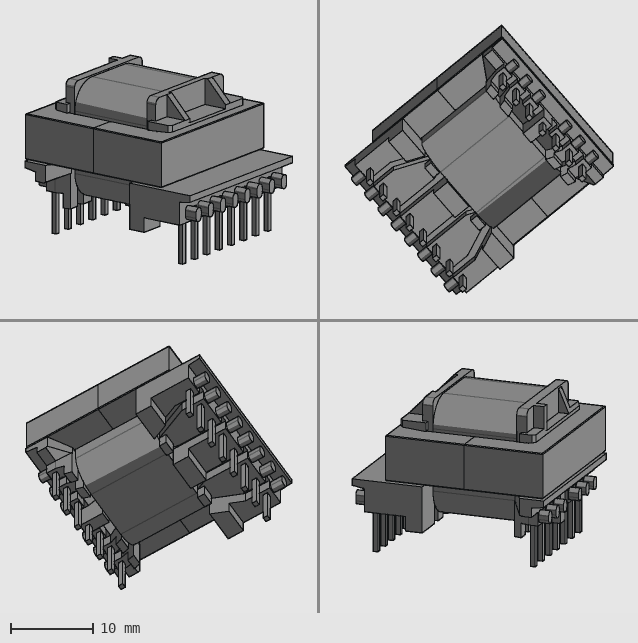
import cadquery as cq


CORE_LENGTH = 20.55
CORE_WIDTH = 21.0
CORE_HEIGHT = 5.8
CORE_CHAMFER = 0.112
WINDOW_HALF_LENGTH = 7.05
WINDOW_HALF_WIDTH = 7.05
CENTRE_LEG_HALF_WIDTH = 3.0

WINDING_HALF_LENGTH = 5.48
WINDING_HALF_WIDTH = 6.88
WINDING_TOP = 6.75
WINDING_BOTTOM = -8.22
WINDING_RADIUS = 3.52
LEG_HOLE_HALF_WIDTH = 3.08
LEG_HOLE_HALF_HEIGHT = 3.1

FLANGE_THICKNESS = 1.32
FLANGE_HALF_WIDTH = 6.95
FLANGE_TOP = 6.95
FLANGE_RADIUS = 0.8
FLANGE_OUTER = WINDING_HALF_LENGTH + FLANGE_THICKNESS

RAIL_HALF_WIDTH = 7.6
RAIL_TOP = 4.12
RAIL_INNER_BOTTOM = 3.0
RAIL_UNDERSIDE_SLOPE = 0.08
RAIL_OVERLAP = 0.68
RAIL_CORNER = 0.38
SHORT_RAIL_END = 8.12
LONG_RAIL_END = 9.52
RAIL_POCKET_HALF_WIDTH = 3.68
RAIL_POCKET_FLOOR = 3.62
RIB_THICKNESS = 0.98
SLANTED_RIB_TOP = 6.68
LONG_FLANGE_POCKET_DEPTH = 0.42

BLOCK_HALF_WIDTH = CORE_WIDTH / 2
BLOCK_TOP = -3.12
LIP_LENGTH = 1.6
LIP_EDGE_BOTTOM = -3.95
LIP_ROOT_BOTTOM = -4.22
POST_BOTTOM = -7.15
FOOT_BOTTOM = -9.0
NARROW_END = -10.38
WIDE_END = 14.62
NARROW_FACE = NARROW_END + LIP_LENGTH
WIDE_FACE = WIDE_END - LIP_LENGTH

SLOT_CEILING = -5.4
SLOT_CEILING_INNER = -4.5
POST_BACK = -7.5
POST_WIDTH = 1.5
BLOCK_TAPER_START = -7.25
BLOCK_TAPER_SLOPE = 1.65
GUIDE_FOOT_FRONT = -6.45
PILLAR_WIDTH = 1.5

WIDE_FOOT_END = 7.68
WIDE_SIDE_FOOT_LENGTH = 4.2
WIDE_CENTRE_FOOT_WIDTH = 4.05
WIDE_GUIDE_FOOT_LENGTH = 0.98
WIRE_SLOT_SLOPE = 0.42
OUTER_SLOT = (5.15, 6.3, 7.0, 8.0)
INNER_SLOT = (2.02, 3.52, 2.0, 3.0)

PIN_SIZE = 0.62
PIN_PITCH = 2.5
WIDE_PIN_COUNT = 8
PIN_TIP = -12.55
NARROW_PIN_X = -7.92
WIDE_PIN_X = 12.12
PEG_WIDTH = 1.05
NARROW_PEG_TIP = -10.08
NARROW_PEG_HEIGHT = 1.6
NARROW_PEG_Z = -6.1
WIDE_PEG_HEIGHT = 1.78
WIDE_PEG_Z = -5.92
POST_ROWS = [side * PIN_PITCH * n for n in (1, 2, 3) for side in (-1, 1)]
WIDE_PIN_ROWS = [PIN_PITCH * (n - (WIDE_PIN_COUNT - 1) / 2) for n in range(WIDE_PIN_COUNT)]

GUIDE_LEGS = [(8.25, 7.72, 6.72, 6.32), (5.72, 5.15, 4.28, 3.52)]


def box(x0, x1, y0, y1, z0, z1):
    """Axis-aligned block between the given limits."""
    return cq.Workplane("XY").box(x1 - x0, y1 - y0, z1 - z0, centered=False).translate((x0, y0, z0))


def side_profile(points, y0, y1):
    """Outline in X and Z, extruded from y0 to y1."""
    return cq.Workplane("XZ", origin=(0, y0, 0)).polyline(points).close().extrude(y0 - y1)


def leg_hole(x0, x1):
    half_width = LEG_HOLE_HALF_WIDTH
    return box(x0, x1, -half_width, half_width, -LEG_HOLE_HALF_HEIGHT, LEG_HOLE_HALF_HEIGHT)


def core_half(side):
    """E-shaped half core on the -X (side = -1) or +X (side = 1) end."""
    core = cq.Workplane("XY").box(CORE_LENGTH, CORE_WIDTH, CORE_HEIGHT)
    core = core.faces("<Z or >Z").edges().chamfer(CORE_CHAMFER)
    for y0, y1 in (
        (CENTRE_LEG_HALF_WIDTH, WINDOW_HALF_WIDTH),
        (-WINDOW_HALF_WIDTH, -CENTRE_LEG_HALF_WIDTH),
    ):
        core = core.cut(box(-WINDOW_HALF_LENGTH, WINDOW_HALF_LENGTH, y0, y1, -CORE_HEIGHT, CORE_HEIGHT))
    half_space = cq.Workplane("XY").box(CORE_LENGTH, CORE_WIDTH, CORE_HEIGHT)
    return core.intersect(half_space.translate((side * CORE_LENGTH / 2, 0, 0)))


def winding():
    length = 2 * WINDING_HALF_LENGTH
    body = (
        cq.Workplane("XY")
        .box(length, 2 * WINDING_HALF_WIDTH, WINDING_TOP - WINDING_BOTTOM)
        .edges("|X")
        .fillet(WINDING_RADIUS)
        .translate((0, 0, (WINDING_TOP + WINDING_BOTTOM) / 2))
    )
    return body.cut(leg_hole(-WINDING_HALF_LENGTH, WINDING_HALF_LENGTH))


def flange():
    """Plate at the end of the winding, from the terminal block up to the rounded top."""
    plate = box(
        WINDING_HALF_LENGTH, FLANGE_OUTER, -FLANGE_HALF_WIDTH, FLANGE_HALF_WIDTH, BLOCK_TOP, FLANGE_TOP
    )
    plate = plate.edges("|X and >Z").fillet(FLANGE_RADIUS)
    return plate.cut(leg_hole(WINDING_HALF_LENGTH, FLANGE_OUTER))


def rail(end):
    """Ledge along the outside of the flange, above the core, with a pocket between its ribs."""
    inner = FLANGE_OUTER - RAIL_OVERLAP
    outer_bottom = RAIL_INNER_BOTTOM + RAIL_UNDERSIDE_SLOPE * (end - inner)
    outline = [(inner, RAIL_INNER_BOTTOM), (end, outer_bottom), (end, RAIL_TOP), (inner, RAIL_TOP)]
    ledge = side_profile(outline, -RAIL_HALF_WIDTH, RAIL_HALF_WIDTH)
    ledge = ledge.edges(">X and |Z").chamfer(RAIL_CORNER)
    pocket = box(
        FLANGE_OUTER, end, -RAIL_POCKET_HALF_WIDTH, RAIL_POCKET_HALF_WIDTH, RAIL_POCKET_FLOOR, FLANGE_TOP
    )
    return ledge.cut(pocket)


def slanted_rib(end, top, foot_z):
    """Triangular rib on the +Y side of the pocket, from the flange down to the rail edge."""
    outline = [(FLANGE_OUTER, foot_z), (end, foot_z), (FLANGE_OUTER, top)]
    return side_profile(outline, RAIL_POCKET_HALF_WIDTH, RAIL_POCKET_HALF_WIDTH + RIB_THICKNESS)


def pin(x, y, top):
    half = PIN_SIZE / 2
    return box(x - half, x + half, y - half, y + half, PIN_TIP, top)


def peg(x0, x1, y, z, height):
    """Wire peg along X with an upright oblong section."""
    return cq.Workplane("YZ", origin=(x0, y, z)).slot2D(height, PEG_WIDTH, 90).extrude(x1 - x0)


def guide_leg(outer_front, outer_back, inner_front, inner_back):
    """Leaning leg behind an outer post; its foot is set back behind the post."""
    back = -WINDING_HALF_LENGTH
    plan = [(POST_BACK, outer_front), (back, outer_back), (back, inner_back), (POST_BACK, inner_front)]
    height = SLOT_CEILING_INNER - FOOT_BOTTOM
    leg = cq.Workplane("XY", origin=(0, 0, FOOT_BOTTOM)).polyline(plan).close().extrude(height)
    return leg.cut(
        box(POST_BACK, GUIDE_FOOT_FRONT, -BLOCK_HALF_WIDTH, BLOCK_HALF_WIDTH, FOOT_BOTTOM, POST_BOTTOM)
    )


def narrow_block():
    """Lipped bar with tapered rear corners and a roof that rises to the winding."""
    back = -WINDING_HALF_LENGTH
    outline = [
        (NARROW_END, BLOCK_TOP),
        (back, BLOCK_TOP),
        (back, SLOT_CEILING_INNER),
        (POST_BACK, SLOT_CEILING),
        (NARROW_FACE, SLOT_CEILING),
        (NARROW_FACE, LIP_ROOT_BOTTOM),
        (NARROW_END, LIP_EDGE_BOTTOM),
    ]
    block = side_profile(outline, -BLOCK_HALF_WIDTH, BLOCK_HALF_WIDTH)
    taper = BLOCK_TAPER_SLOPE * (back - BLOCK_TAPER_START)
    corner = [
        (BLOCK_TAPER_START, BLOCK_HALF_WIDTH),
        (back, BLOCK_HALF_WIDTH),
        (back, BLOCK_HALF_WIDTH - taper),
    ]
    cutter = cq.Workplane("XY", origin=(0, 0, SLOT_CEILING)).polyline(corner).close()
    cutter = cutter.extrude(BLOCK_TOP - SLOT_CEILING)
    return block.cut(cutter).cut(cutter.mirror("XZ"))


def narrow_end():
    body = flange().union(rail(SHORT_RAIL_END)).mirror("YZ")

    rib_outer = RAIL_POCKET_HALF_WIDTH + RIB_THICKNESS
    body = body.union(
        box(-SHORT_RAIL_END, -FLANGE_OUTER, RAIL_POCKET_HALF_WIDTH, rib_outer, RAIL_POCKET_FLOOR, FLANGE_TOP)
    )
    slope_cut = side_profile(
        [
            (-SHORT_RAIL_END, RAIL_POCKET_FLOOR),
            (-FLANGE_OUTER, SLANTED_RIB_TOP),
            (-SHORT_RAIL_END, SLANTED_RIB_TOP),
        ],
        -RAIL_HALF_WIDTH,
        -RAIL_POCKET_HALF_WIDTH,
    )
    rib = slanted_rib(SHORT_RAIL_END, SLANTED_RIB_TOP, RAIL_POCKET_FLOOR)
    body = body.cut(slope_cut).union(rib.rotate((0, 0, 0), (0, 0, 1), 180))

    body = body.union(narrow_block())
    half_pillar = PILLAR_WIDTH / 2
    body = body.union(
        box(NARROW_FACE, -WINDING_HALF_LENGTH, -half_pillar, half_pillar, FOOT_BOTTOM, SLOT_CEILING_INNER)
    )
    body = body.union(pin(NARROW_PIN_X, 0, FOOT_BOTTOM))
    for leg_plan in GUIDE_LEGS:
        leg = guide_leg(*leg_plan)
        body = body.union(leg).union(leg.mirror("XZ"))
    half_post = POST_WIDTH / 2
    for y in POST_ROWS:
        post = box(NARROW_FACE, POST_BACK, y - half_post, y + half_post, POST_BOTTOM, SLOT_CEILING)
        body = body.union(post).union(pin(NARROW_PIN_X, y, POST_BOTTOM))
        body = body.union(peg(NARROW_PEG_TIP, NARROW_FACE, y, NARROW_PEG_Z, NARROW_PEG_HEIGHT))
    return body


def wire_slot(start_inner, start_outer, exit_inner, exit_outer):
    """Slot open below, on the +Y side: slanted from the winding, then straight to the end face."""
    start = WINDING_HALF_LENGTH
    plan = [
        (start, start_inner),
        (start + abs(exit_inner - start_inner) / WIRE_SLOT_SLOPE, exit_inner),
        (WIDE_FACE, exit_inner),
        (WIDE_FACE, exit_outer),
        (start + abs(exit_outer - start_outer) / WIRE_SLOT_SLOPE, exit_outer),
        (start, start_outer),
    ]
    height = SLOT_CEILING - FOOT_BOTTOM
    return cq.Workplane("XY", origin=(0, 0, FOOT_BOTTOM)).polyline(plan).close().extrude(height)


def wide_block():
    outline = [
        (WINDING_HALF_LENGTH, BLOCK_TOP),
        (WIDE_END, BLOCK_TOP),
        (WIDE_END, LIP_EDGE_BOTTOM),
        (WIDE_FACE, LIP_ROOT_BOTTOM),
        (WIDE_FACE, POST_BOTTOM),
        (WINDING_HALF_LENGTH, POST_BOTTOM),
    ]
    block = side_profile(outline, -BLOCK_HALF_WIDTH, BLOCK_HALF_WIDTH)
    side_foot_inner = BLOCK_HALF_WIDTH - WIDE_SIDE_FOOT_LENGTH
    half_centre_foot = WIDE_CENTRE_FOOT_WIDTH / 2
    for y0, y1 in (
        (-BLOCK_HALF_WIDTH, -side_foot_inner),
        (-half_centre_foot, half_centre_foot),
        (side_foot_inner, BLOCK_HALF_WIDTH),
    ):
        block = block.union(box(WINDING_HALF_LENGTH, WIDE_FOOT_END, y0, y1, FOOT_BOTTOM, POST_BOTTOM))
    outer_slot = wire_slot(*OUTER_SLOT)
    inner_slot = wire_slot(*INNER_SLOT)
    block = block.cut(outer_slot).cut(outer_slot.mirror("XZ")).cut(inner_slot).cut(inner_slot.mirror("XZ"))
    guide_foot = box(
        WINDING_HALF_LENGTH,
        WINDING_HALF_LENGTH + WIDE_GUIDE_FOOT_LENGTH,
        INNER_SLOT[1],
        OUTER_SLOT[0],
        FOOT_BOTTOM,
        POST_BOTTOM,
    )
    return block.union(guide_foot).union(guide_foot.mirror("XZ"))


def wide_end():
    body = flange().union(rail(LONG_RAIL_END))
    rib = slanted_rib(LONG_RAIL_END, FLANGE_TOP, RAIL_TOP)
    rib = rib.union(
        box(
            FLANGE_OUTER,
            LONG_RAIL_END,
            RAIL_POCKET_HALF_WIDTH,
            RAIL_POCKET_HALF_WIDTH + RIB_THICKNESS,
            RAIL_POCKET_FLOOR,
            RAIL_TOP,
        )
    )
    body = body.union(rib).union(rib.mirror("XZ"))
    flange_pocket = box(
        FLANGE_OUTER - LONG_FLANGE_POCKET_DEPTH,
        FLANGE_OUTER,
        -RAIL_POCKET_HALF_WIDTH,
        RAIL_POCKET_HALF_WIDTH,
        RAIL_POCKET_FLOOR,
        FLANGE_TOP,
    )
    body = body.cut(flange_pocket).union(wide_block())
    for y in WIDE_PIN_ROWS:
        body = body.union(pin(WIDE_PIN_X, y, POST_BOTTOM))
        body = body.union(peg(WIDE_FACE, WIDE_END, y, WIDE_PEG_Z, WIDE_PEG_HEIGHT))
    return body


core_halves = [core_half(side) for side in (-1, 1)]
coil = winding()
bobbin_narrow_end = narrow_end()
bobbin_wide_end = wide_end()

result = cq.Compound.makeCompound(
    [half.val() for half in core_halves] + [coil.val(), bobbin_narrow_end.val(), bobbin_wide_end.val()]
)